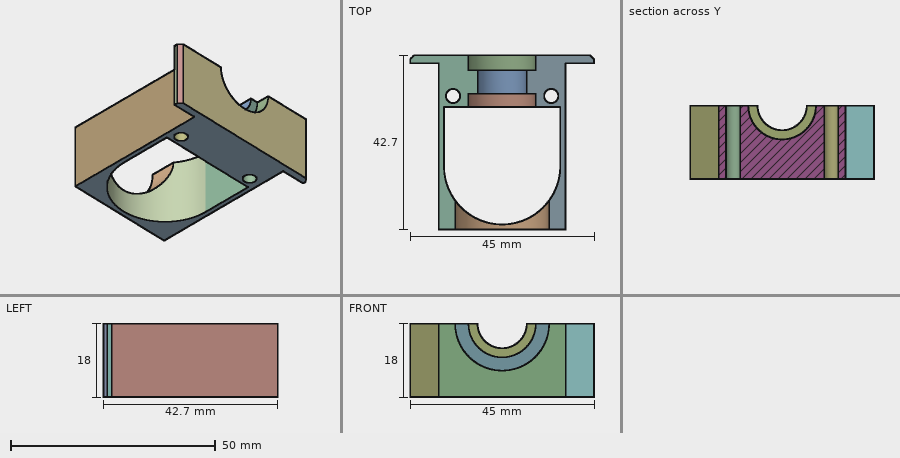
import cadquery as cq

height = 18.0
length = 42.7
body_width = 31.1

flange_width = 45.0
flange_thickness = 2.0
flange_chamfer = 1.0

window_width = 28.4
window_radius = window_width / 2
front_wall = 1.3
bearing_block_length = 12.7
window_back = length - bearing_block_length
window_arc_center = front_wall + window_radius

front_opening_diameter = 23.0
seat_diameter = 16.5
shaft_diameter = 12.0
rear_seat_depth = 3.7
inner_seat_depth = 3.2

screw_diameter = 3.4
screw_spacing = 24.0
screw_from_back = 10.0


def make_body():
    """Rectangular block with a wider flange across its back end."""
    block = cq.Workplane("XY").box(body_width, length, height, centered=(True, False, False))
    flange = (
        cq.Workplane("XY")
        .box(flange_width, flange_thickness, height, centered=(True, False, False))
        .translate((0, length - flange_thickness, 0))
        .edges("|Z and >Y")
        .chamfer(flange_chamfer)
    )
    return block.union(flange)


def make_window():
    """Vertical through-opening: square at the bearing block, round at the front."""
    return (
        cq.Workplane("XY")
        .moveTo(-window_radius, window_back)
        .lineTo(-window_radius, window_arc_center)
        .threePointArc((0, front_wall), (window_radius, window_arc_center))
        .lineTo(window_radius, window_back)
        .close()
        .extrude(height)
    )


def make_bore(diameter, y_start, y_end):
    """Cylinder along Y, centred on the top face, between two Y positions."""
    axis_start = cq.Vector(0, y_start, height)
    along_y = cq.Vector(0, 1, 0)
    return cq.Workplane(cq.Solid.makeCylinder(diameter / 2, y_end - y_start, axis_start, along_y))


def make_screw_holes():
    """Pair of vertical through-holes, one on each side of the shaft bore."""
    hole_y = length - screw_from_back
    return (
        cq.Workplane("XY")
        .pushPoints([(side * screw_spacing / 2, hole_y) for side in (-1, 1)])
        .circle(screw_diameter / 2)
        .extrude(height)
    )


result = (
    make_body()
    .cut(make_window())
    .cut(make_bore(front_opening_diameter, 0, window_arc_center))
    .cut(make_bore(seat_diameter, window_back, window_back + inner_seat_depth))
    .cut(make_bore(shaft_diameter, window_back, length))
    .cut(make_bore(seat_diameter, length - rear_seat_depth, length))
    .cut(make_screw_holes())
)